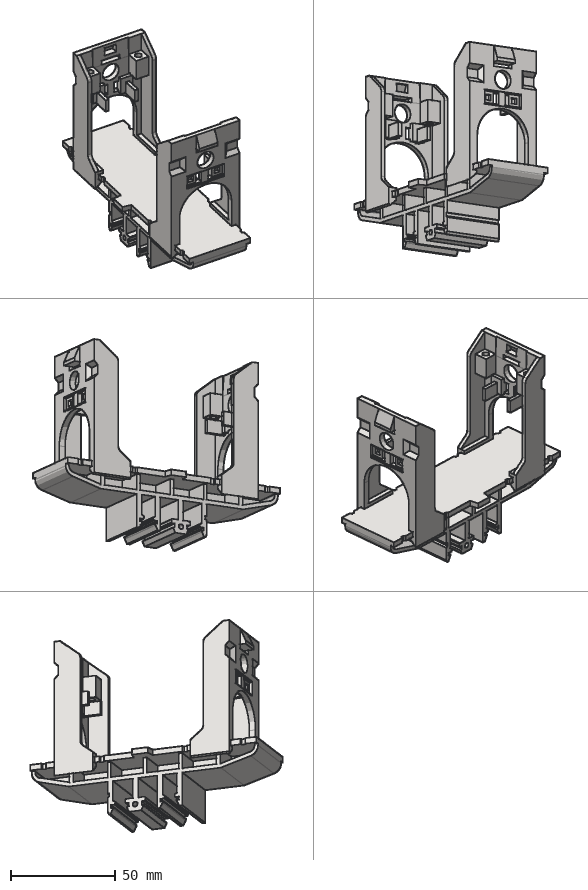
import cadquery as cq
import math


base_length = 117.0
plate_half_width = 17.1
plate_thickness = 2.8
tab_half_span = 21.59
tab_root_half = 4.9
tab_tip_half = 4.1
notch_positions = (21.5, 51.5)
notch_depth = 0.9
notch_mouth = 2.6
notch_floor = 1.6

tray_half_width = 15.0
tray_bottom = -12.6
tray_floor = 2.1
tray_end_wall = 1.8
tray_flat_half = 39.3
tray_slope = 15.0
tray_corner_radius = 5.0
end_rib_inner, end_rib_outer = 37.0, 39.1
mid_rib_inner, mid_rib_outer = 17.5, 19.3
centre_rib_half = 0.9
web_thickness = 1.9

foot_bottom = -29.1
leg_thickness = 2.8
neck_thickness = 1.7
bead_reach = 4.0
barb_reach = 3.2
bead_top, bead_high, bead_low, bead_bottom = -22.5, -23.3, -24.0, -24.6
barb_top, barb_low = -26.0, -26.7
tip_thickness = 1.5
outer_leg_face = 19.3
single_leg_face = 6.3
leg_groove_top, leg_groove_bottom = -18.6, -20.1
leg_groove_depth = 0.8
leg_point_height = 1.3
leg_point_inset = 0.7
anchor_centre = -5.0
anchor_stem_centre = -4.8
anchor_flange_half = 5.1
anchor_neck_half = 3.33
anchor_barb_half = 4.39
anchor_bottom_half = 3.2
anchor_waist_bottom = -26.2
anchor_corner = 0.4
anchor_hole_z = -25.68
anchor_hole_diameter = 2.5

bracket_top = 59.9
bracket_half_width = 19.2
wall_outer = 45.3
wall_thickness = 3.2
wall_inner = wall_outer - wall_thickness
side_wall_edge = 31.8
side_wall_shoulder = 51.8
side_wall_knee = 7.0
grip_edge = 25.2
grip_top = 1.9
knee_radius = 3.0
arch_radius = 14.6
arch_spring = 14.7
cable_hole_diameter = 9.0
cable_hole_z = 43.6

ledge_height = 1.9
ledge_inner = 14.6
lip_inner_z = -4.2
lip_tip_z = -7.7
blunt_outer_z = -6.3
blunt_low_z = -7.0

hook_half_width = 5.1
hook_reach = 2.8
hook_barb_z = 53.6
hook_bottom = 51.8
slot_bottom = 49.7
relief_half_width = 10.1
relief_depth = 0.7
cavity_half_width = 3.22
cavity_bottom, cavity_top = 54.2, 58.3
cavity_back = 45.9

corner_bottom, corner_top = 40.8, 49.4
corner_inner = 11.0
corner_depth = 2.1

block_depth = 6.7
block_inner = 10.1
block_bottom, block_top = 39.7, 50.4
screw_hole_diameter = 3.4
screw_hole_x = 39.0
screw_hole_y = 13.6
pad_thickness = 1.9
pad_inner, pad_outer = 4.5, 11.1
pad_bottom, pad_top = 30.3, 39.1
blade_inner, blade_outer = 7.3, 9.1
blade_end = 31.9
blade_bottom, blade_top = 29.7, 36.4

recess_half_width = 10.4
recess_bottom, recess_top = 30.5, 37.7
recess_depth = 0.7
pocket_bottom, pocket_top = 31.4, 37.3
pocket_depth = 1.5
slot_top = 37.0
post_half_width = 1.9
socket_size = 2.8
socket_depth = 1.8


def span_box(x_range, y_range, z_range):
    """Axis-aligned box between two limits on each axis."""
    size = [abs(b - a) for a, b in (x_range, y_range, z_range)]
    low = [min(a, b) for a, b in (x_range, y_range, z_range)]
    return cq.Workplane("XY").box(*size, centered=False).translate(tuple(low))


def side_profile(points, half_width):
    """Extrude an X-Z outline symmetrically about the Y = 0 plane."""
    return cq.Workplane("XZ").polyline(points).close().extrude(half_width, both=True)



def make_plate():
    """Flat plate with a tapered tab and edge notches on both long sides."""
    half = base_length / 2
    plate = span_box((-half, half), (-plate_half_width, plate_half_width), (-plate_thickness, 0))
    for side in (-1, 1):
        edge = side * plate_half_width
        tip = side * tab_half_span
        tab = [(-tab_root_half, edge), (-tab_tip_half, tip), (tab_tip_half, tip), (tab_root_half, edge),
               (tab_root_half, 0), (-tab_root_half, 0)]
        plate = plate.union(cq.Workplane("XY").polyline(tab).close().extrude(-plate_thickness))
        floor = edge - side * notch_depth
        for x in (-notch_positions[1], -notch_positions[0], *notch_positions):
            notch = [(x - notch_mouth / 2, edge), (x - notch_floor / 2, floor),
                     (x + notch_floor / 2, floor), (x + notch_mouth / 2, edge)]
            plate = plate.cut(cq.Workplane("XY").polyline(notch).close().extrude(-plate_thickness))
    return plate


def slope_z(start_x, start_z, x):
    """Height of the sloping tray end at x, rising outward from a starting point."""
    return start_z + (x - start_x) * math.tan(math.radians(tray_slope))


def make_tray():
    """Tray with upswept ends and six cells, each split by a lengthwise web on the Y = 0 plane."""
    half = base_length / 2
    end_z = slope_z(tray_flat_half, tray_bottom, half)
    outline = [(-half, -plate_thickness), (-half, end_z), (-tray_flat_half, tray_bottom),
               (tray_flat_half, tray_bottom), (half, end_z), (half, -plate_thickness)]
    tray = side_profile(outline, tray_half_width)
    for end in ("<X", ">X"):
        tray = tray.faces(end).edges("<Z").fillet(tray_corner_radius)
    web = tray.intersect(span_box((-half, half), (-web_thickness / 2, web_thickness / 2),
                                  (tray_bottom, -plate_thickness)))

    floor_z = tray_bottom + tray_floor
    cell_end = half - tray_end_wall
    cell_z = slope_z(end_rib_outer, floor_z, cell_end)
    for side in (-1, 1):
        for inner, outer in ((centre_rib_half, mid_rib_inner), (mid_rib_outer, end_rib_inner)):
            cell = span_box((side * inner, side * outer), (-tray_half_width, tray_half_width),
                            (floor_z, -plate_thickness))
            tray = tray.cut(cell)
        end_cell = side_profile([(side * end_rib_outer, -plate_thickness), (side * end_rib_outer, floor_z),
                                 (side * cell_end, cell_z), (side * cell_end, -plate_thickness)],
                                tray_half_width)
        end_face = ">X" if side > 0 else "<X"
        end_cell = end_cell.faces(end_face).edges("<Z").fillet(tray_corner_radius - tray_end_wall)
        tray = tray.cut(end_cell)
    return tray.union(web)


def hooked_leg(face_x, direction):
    """Leg with a bead and a barb on the side that `direction` points to from its flat face."""
    outline = [(0, tray_bottom), (leg_thickness, tray_bottom), (leg_thickness, bead_top),
               (bead_reach, bead_high), (bead_reach, bead_low), (bead_reach - anchor_corner, bead_bottom),
               (neck_thickness, bead_bottom), (neck_thickness, barb_top), (barb_reach, barb_top),
               (leg_thickness, barb_low), (tip_thickness, foot_bottom), (0, foot_bottom)]
    return side_profile([(face_x + direction * x, z) for x, z in outline], tray_half_width)


def end_leg():
    """Hooked leg at the -X end, with a release groove and a pointed tip on its flat face."""
    face = -outer_leg_face
    leg = hooked_leg(face, 1)
    groove = [(face, leg_groove_top), (face + leg_groove_depth, leg_groove_top),
              (face + leg_groove_depth, leg_groove_bottom), (face, leg_groove_bottom - leg_groove_depth)]
    point = [(face, foot_bottom + leg_point_height), (face + leg_point_inset, foot_bottom), (face, foot_bottom)]
    return leg.cut(side_profile(groove, tray_half_width)).cut(side_profile(point, tray_half_width))


def anchor_foot():
    """Central stem with a flanged, double-barbed head and a lengthwise hole."""
    half_outline = [(anchor_flange_half - anchor_corner, bead_top),
                    (anchor_flange_half, bead_top - anchor_corner),
                    (anchor_flange_half, bead_bottom + anchor_corner),
                    (anchor_flange_half - anchor_corner, bead_bottom),
                    (anchor_neck_half, bead_bottom),
                    (anchor_neck_half, anchor_waist_bottom),
                    (anchor_barb_half, barb_low),
                    (anchor_bottom_half, foot_bottom)]
    right = [(anchor_centre + x, z) for x, z in half_outline]
    left = [(anchor_centre - x, z) for x, z in reversed(half_outline)]
    head = side_profile(right + left, tray_half_width)
    stem_half = leg_thickness / 2
    stem = span_box((anchor_stem_centre - stem_half, anchor_stem_centre + stem_half),
                    (-tray_half_width, tray_half_width), (bead_top, tray_bottom))
    hole = (cq.Workplane("XZ").center(anchor_centre, anchor_hole_z)
            .circle(anchor_hole_diameter / 2).extrude(tray_half_width, both=True))
    return head.union(stem).cut(hole)


def make_base():
    """Plate, tray and rail feet in one solid."""
    base = make_plate().union(make_tray())
    for foot in (end_leg(), anchor_foot(), hooked_leg(single_leg_face, 1), hooked_leg(outer_leg_face, -1)):
        base = base.union(foot)
    return base



def bracket_side_wall(side):
    """Side wall with a sloped top and a foot that widens above the plate."""
    outline = [(wall_outer, bracket_top), (wall_inner, bracket_top), (side_wall_edge, side_wall_shoulder),
               (side_wall_edge, side_wall_knee), (grip_edge, grip_top),
               (grip_edge, -plate_thickness), (wall_outer, -plate_thickness)]
    wall = cq.Workplane("XZ").polyline(outline).close().extrude(-(bracket_half_width - plate_half_width))
    for corner_z in (side_wall_shoulder, side_wall_knee):
        corner = cq.selectors.NearestToPointSelector((side_wall_edge, bracket_half_width / 10, corner_z))
        wall = wall.edges("|Y").edges(corner).fillet(knee_radius)
    wall = wall.translate((0, plate_half_width, 0))
    return wall if side > 0 else wall.mirror("XZ")


def bracket_grip(side, blunt_tip):
    """Ledge on top of the plate edge and a tapered lip beneath it."""
    ledge = span_box((grip_edge, wall_outer), (side * ledge_inner, side * plate_half_width), (0, ledge_height))
    lip = [(tray_half_width, -plate_thickness), (tray_half_width, lip_inner_z)]
    if blunt_tip:
        run = bracket_half_width - tray_half_width
        blunt_y = tray_half_width + run * (blunt_low_z - lip_inner_z) / (lip_tip_z - lip_inner_z)
        lip += [(blunt_y, blunt_low_z), (bracket_half_width, blunt_outer_z)]
    else:
        lip += [(bracket_half_width, lip_tip_z)]
    lip += [(bracket_half_width, -plate_thickness)]
    lip_bar = (cq.Workplane("YZ").workplane(offset=grip_edge)
               .polyline([(side * y, z) for y, z in lip]).close().extrude(wall_outer - grip_edge))
    return ledge, lip_bar


def bracket_back_wall():
    """Back wall with an arched opening that reaches down to the plate."""
    wall = span_box((wall_inner, wall_outer), (-bracket_half_width, bracket_half_width), (0, bracket_top))
    arch = (cq.Workplane("YZ").workplane(offset=wall_inner)
            .moveTo(-arch_radius, 0).lineTo(-arch_radius, arch_spring)
            .threePointArc((0, arch_spring + arch_radius), (arch_radius, arch_spring))
            .lineTo(arch_radius, 0).close().extrude(wall_thickness))
    hole = (cq.Workplane("YZ").workplane(offset=wall_inner).center(0, cable_hole_z)
            .circle(cable_hole_diameter / 2).extrude(wall_thickness))
    return wall.cut(arch).cut(hole)


def add_snap_hook(bracket):
    """Cored wedge hook on the outer face, a slot under it and a tapered relief behind it."""
    hook_tip = wall_outer + hook_reach
    hook = side_profile([(wall_outer, bracket_top), (hook_tip, hook_barb_z), (hook_tip, hook_bottom),
                         (wall_outer, hook_bottom)], hook_half_width)
    slot = span_box((wall_inner, wall_outer), (-hook_half_width, hook_half_width), (slot_bottom, hook_bottom))
    relief = side_profile([(wall_inner, slot_bottom), (wall_inner + relief_depth, bracket_top),
                           (wall_inner, bracket_top)], relief_half_width)
    ramp = hook_reach / (bracket_top - hook_barb_z)
    cavity_top_x = cavity_back - ramp * (cavity_top - cavity_bottom)
    cavity = side_profile([(wall_inner, cavity_bottom), (cavity_back, cavity_bottom),
                           (cavity_top_x, cavity_top), (wall_inner, cavity_top)], cavity_half_width)
    return bracket.union(hook).cut(slot).cut(relief).cut(cavity)


def corner_recess(side):
    """Recess in an outer corner, its three inner walls sloping at 45 degrees."""
    height = corner_top - corner_bottom
    reach = 2 * (bracket_half_width - corner_inner)
    recess = (cq.Workplane("YZ").workplane(offset=wall_outer)
              .center(side * bracket_half_width, (corner_top + corner_bottom) / 2)
              .rect(reach, height)
              .workplane(offset=-corner_depth)
              .rect(reach - 2 * corner_depth, height - 2 * corner_depth)
              .loft(ruled=True))
    return recess


def screw_block(side):
    """Block in the inner corner with a vertical screw hole."""
    block = span_box((wall_inner - block_depth, wall_inner), (side * block_inner, side * plate_half_width),
                     (block_bottom, block_top))
    hole = (cq.Workplane("XY").workplane(offset=block_bottom).center(screw_hole_x, side * screw_hole_y)
            .circle(screw_hole_diameter / 2).extrude(block_top - block_bottom))
    return block.cut(hole)


def contact_pad(side):
    """Pad on the inner face with a blade pointing along the plate."""
    pad_face = wall_inner - pad_thickness
    pad = span_box((pad_face, wall_inner), (side * pad_inner, side * pad_outer), (pad_bottom, pad_top))
    blade = span_box((blade_end, wall_inner), (side * blade_inner, side * blade_outer), (blade_bottom, blade_top))
    return pad.union(blade)


def cut_contact_recess(bracket):
    """Stepped recess in the outer face: two pockets, each with a socket and a through slot."""
    recess = span_box((wall_outer - recess_depth, wall_outer), (-recess_half_width, recess_half_width),
                      (recess_bottom, recess_top))
    bracket = bracket.cut(recess)
    pocket_floor = wall_outer - pocket_depth
    socket_y = (pad_inner + recess_half_width) / 2
    socket_z = (pocket_bottom + pocket_top) / 2
    half = socket_size / 2
    for side in (-1, 1):
        pocket = span_box((pocket_floor, wall_outer), (side * post_half_width, side * recess_half_width),
                          (pocket_bottom, pocket_top))
        slot = span_box((wall_inner, wall_outer), (side * post_half_width, side * pad_inner),
                        (pocket_bottom, slot_top))
        socket = span_box((pocket_floor - socket_depth, pocket_floor),
                          (side * socket_y - half, side * socket_y + half), (socket_z - half, socket_z + half))
        bracket = bracket.cut(pocket).cut(slot).cut(socket)
    return bracket


def make_bracket(blunt_tip):
    """Complete end bracket; `blunt_tip` bevels the sharp lower edge of its lips."""
    bracket = bracket_back_wall()
    for side in (-1, 1):
        ledge, lip = bracket_grip(side, blunt_tip)
        for piece in (bracket_side_wall(side), ledge, lip, screw_block(side), contact_pad(side)):
            bracket = bracket.union(piece)
        bracket = bracket.cut(corner_recess(side))
    return cut_contact_recess(add_snap_hook(bracket))


base = make_base()
brackets = [make_bracket(blunt_tip=True), make_bracket(blunt_tip=False).mirror("YZ")]

result = cq.Compound.makeCompound([base.val(), *[bracket.val() for bracket in brackets]])